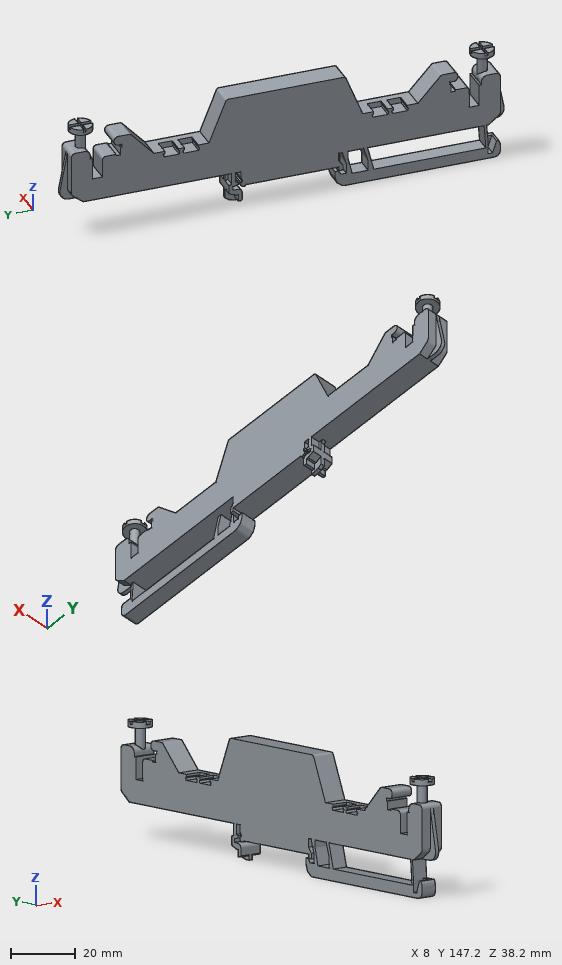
import cadquery as cq
import math

THICKNESS = 8.0
LENGTH = 147.2
TOP_Z = 19.1
FOOT_BOTTOM_Z = -19.1
BODY_BOTTOM_Z = -7.4
BODY_END_Y = 71.1
SIDE_X = THICKNESS / 2
OPEN_SIDE_END_X = 1.5

DECK_Z = 5.0
HORN_TOP_Z = 13.4
HORN_BOTTOM_Z = 10.3
HORN_TIP_Y = 57.0
HORN_TIP_RADIUS = 1.5
LEDGE_Z = 7.2
SLOT_INNER_Y = 60.8
SLOT_OUTER_Y = 64.0
SLOT_BOTTOM_Z = 0.1
POST_INNER_Y = 64.8
POST_TOP_Z = 10.3
POST_ROUND = 1.5
POST_INNER_ROUND = 2.0
CORNER_CHAMFER_Y = 67.1
CORNER_CHAMFER_Z = -4.3
CORNER_CHAMFER_ROUND = 1.8

WEB_THICKNESS = 1.3
FIN_RADIUS = 3.0

POCKET_CENTRES_Y = (31.4, 37.8)
POCKET_WIDTH = 4.5
POCKET_UNDERCUT = 0.5
POCKET_FLOOR_FLARE = 0.1
POCKET_NECK_DEPTH = 0.7
POCKET_WIDEST_DEPTH = 1.2
POCKET_DEPTH = 1.9

SCREW_Y = 66.5
SHANK_RADIUS = 1.6
SHANK_BOTTOM_Z = LEDGE_Z
HEAD_RADIUS = 3.8
HEAD_BOTTOM_Z = 16.0
HEAD_TOP_Z = 18.0
CROSS_DEPTH = 0.9
CROSS_WIDTH_ACROSS_X = 1.3
CROSS_WIDTH_ACROSS_Y = 0.9

BLOCK_BOTTOM_Z = -12.2
BLOCK_HOOK_SIDE_Y = 14.9
BLOCK_FOOT_SIDE_Y = -17.5
BLOCK_LIP_Y = -18.8
BLOCK_GROOVE_DEPTH = 0.5
BLOCK_BEAD_Z = BLOCK_BOTTOM_Z - 0.5

FOOT_TOP_Z = -13.5
BAR_TOP_Z = -15.3
FOOT_START_Y = -16.2
FOOT_END_Y = -BODY_END_Y
NOTCH_FLOOR_X = 0.0
NOTCH_INNER_Y = -67.0
NOTCH_BOTTOM_Z = -17.5

HOOK_OUTER_Y = 18.8
HOOK_TIP_Y = 14.5
HOOK_ARM_Z = -15.3
HOOK_BOTTOM_Z = -17.5
HOOK_WEB_BOTTOM_Z = -18.8

OVERLAP = 0.3


def rounded_prism(corners, x_start, x_end):
    """Extrude a closed YZ outline along X; each corner is (y, z) or (y, z, rounding radius)."""
    sketch = cq.Workplane("YZ", origin=(x_start, 0, 0))
    for i, (y, z, *radius) in enumerate(corners):
        here = cq.Vector(y, z)
        previous = cq.Vector(*corners[i - 1][:2])
        following = cq.Vector(*corners[(i + 1) % len(corners)][:2])
        go = sketch.lineTo if i else sketch.moveTo
        if not radius:
            sketch = go(y, z)
            continue
        to_previous = (previous - here).normalized()
        to_following = (following - here).normalized()
        half_angle = to_previous.getAngle(to_following) / 2
        tangent_length = radius[0] / math.tan(half_angle)
        middle_distance = radius[0] / math.sin(half_angle) - radius[0]
        arc_start = here + to_previous * tangent_length
        arc_middle = here + (to_previous + to_following).normalized() * middle_distance
        arc_end = here + to_following * tangent_length
        sketch = go(arc_start.x, arc_start.y)
        sketch = sketch.threePointArc((arc_middle.x, arc_middle.y), (arc_end.x, arc_end.y))
    return sketch.close().extrude(x_end - x_start)


def mirrored_in_y(corners):
    """The same corners on the -Y side, in reverse order so that the outline runs on."""
    return [(-y, z, *radius) for y, z, *radius in reversed(corners)]


def make_body_plate():
    """Main plate with its raised middle, the two horns, the slots and the end posts."""
    half_outline = [
        (19.7, TOP_Z, 1.0),
        (25.5, DECK_Z),
        (43.7, DECK_Z),
        (51.5, HORN_TOP_Z, 1.2),
        (HORN_TIP_Y, HORN_TOP_Z, HORN_TIP_RADIUS),
        (HORN_TIP_Y, HORN_BOTTOM_Z, HORN_TIP_RADIUS),
        (54.3, HORN_BOTTOM_Z),
        (54.3, 9.4),
        (54.8, 9.4),
        (54.8, 6.8),
        (56.2, 6.8),
        (56.2, LEDGE_Z),
        (SLOT_INNER_Y, LEDGE_Z, 1.2),
        (SLOT_INNER_Y, SLOT_BOTTOM_Z),
        (SLOT_OUTER_Y, SLOT_BOTTOM_Z),
        (SLOT_OUTER_Y, LEDGE_Z),
        (POST_INNER_Y, LEDGE_Z),
        (POST_INNER_Y, POST_TOP_Z, POST_INNER_ROUND),
        (BODY_END_Y, POST_TOP_Z, POST_ROUND),
        (BODY_END_Y, CORNER_CHAMFER_Z, CORNER_CHAMFER_ROUND),
        (CORNER_CHAMFER_Y, BODY_BOTTOM_Z),
    ]
    return rounded_prism(half_outline + mirrored_in_y(half_outline), -SIDE_X, SIDE_X)


def make_end_fin():
    """Thin central fin on the +Y end, leaning outward to a round lower corner."""
    centre_y = LENGTH / 2 - FIN_RADIUS
    centre_z = BODY_BOTTOM_Z + FIN_RADIUS
    top_y = BODY_END_Y
    top_z = POST_TOP_Z - POST_ROUND
    reach = math.hypot(top_y - centre_y, top_z - centre_z)
    angle = math.atan2(top_z - centre_z, top_y - centre_y) - math.acos(FIN_RADIUS / reach)
    tangent_point = (centre_y + FIN_RADIUS * math.cos(angle), centre_z + FIN_RADIUS * math.sin(angle))
    inner_y = CORNER_CHAMFER_Y - OVERLAP
    return (
        cq.Workplane("YZ", origin=(-WEB_THICKNESS / 2, 0, 0))
        .moveTo(inner_y, BODY_BOTTOM_Z)
        .lineTo(inner_y, top_z)
        .lineTo(top_y, top_z)
        .lineTo(*tangent_point)
        .threePointArc((centre_y + FIN_RADIUS, centre_z), (centre_y, BODY_BOTTOM_Z))
        .close()
        .extrude(WEB_THICKNESS)
    )


def make_marker_pocket(centre_y):
    """Undercut pocket in the deck, open on the -X side."""
    half_top = POCKET_WIDTH / 2
    half_wide = half_top + POCKET_UNDERCUT
    half_floor = half_top + POCKET_FLOOR_FLARE
    neck_z = DECK_Z - POCKET_NECK_DEPTH
    wide_z = DECK_Z - POCKET_WIDEST_DEPTH
    floor_z = DECK_Z - POCKET_DEPTH
    right_side = [
        (half_top, DECK_Z),
        (half_top, neck_z),
        (half_wide, wide_z),
        (half_floor, floor_z),
    ]
    outline = right_side + mirrored_in_y(right_side)
    return rounded_prism([(centre_y + y, z) for y, z in outline], -SIDE_X, OPEN_SIDE_END_X)


def make_rail_block():
    """Block under the body, with a barbed lip towards the foot, and a groove and a bead towards the hook."""
    return rounded_prism(
        [
            (BLOCK_FOOT_SIDE_Y, BODY_BOTTOM_Z + OVERLAP),
            (BLOCK_HOOK_SIDE_Y, BODY_BOTTOM_Z + OVERLAP),
            (BLOCK_HOOK_SIDE_Y, -9.9),
            (BLOCK_HOOK_SIDE_Y - BLOCK_GROOVE_DEPTH, -10.3),
            (BLOCK_HOOK_SIDE_Y - BLOCK_GROOVE_DEPTH, -10.9),
            (BLOCK_HOOK_SIDE_Y, -11.2),
            (BLOCK_HOOK_SIDE_Y, BLOCK_BOTTOM_Z),
            (14.5, BLOCK_BEAD_Z),
            (13.5, BLOCK_BEAD_Z),
            (13.1, BLOCK_BOTTOM_Z),
            (BLOCK_FOOT_SIDE_Y, BLOCK_BOTTOM_Z),
            (BLOCK_FOOT_SIDE_Y, FOOT_TOP_Z),
            (BLOCK_LIP_Y, FOOT_TOP_Z),
            (BLOCK_LIP_Y, -11.8),
            (BLOCK_FOOT_SIDE_Y, -10.0),
        ],
        -SIDE_X,
        SIDE_X,
    )


def make_foot_bar():
    """Bar of the foot, with its catch under the rail block and its upturned far end."""
    bar = rounded_prism(
        [
            (FOOT_START_Y, FOOT_TOP_Z),
            (FOOT_START_Y, -15.3),
            (-17.0, -17.7, 0.5),
            (-18.8, FOOT_BOTTOM_Z, 1.8),
            (FOOT_END_Y, FOOT_BOTTOM_Z, 2.2),
            (FOOT_END_Y, -15.3),
            (-71.0, -14.5),
            (-70.5, FOOT_TOP_Z),
            (NOTCH_INNER_Y, FOOT_TOP_Z),
            (-66.3, BAR_TOP_Z),
            (-22.0, BAR_TOP_Z),
            (-20.0, -14.9),
            (-18.3, -14.9),
            (-17.4, FOOT_TOP_Z),
        ],
        -SIDE_X,
        OPEN_SIDE_END_X,
    )
    notch = rounded_prism(
        [
            (NOTCH_INNER_Y, FOOT_TOP_Z),
            (-69.8, FOOT_TOP_Z),
            (-68.5, NOTCH_BOTTOM_Z),
            (NOTCH_INNER_Y, NOTCH_BOTTOM_Z),
        ],
        -SIDE_X,
        NOTCH_FLOOR_X,
    )
    return bar.cut(notch)


def make_foot_legs():
    """Three slanting spring legs that carry the foot bar."""
    root_z = BODY_BOTTOM_Z + OVERLAP
    end_z = BAR_TOP_Z - OVERLAP
    near_leg = [
        (-18.7, root_z), (-18.7, BODY_BOTTOM_Z), (-20.0, -11.6), (-20.0, end_z),
        (-22.0, end_z), (-22.0, BAR_TOP_Z), (-20.6, -9.9), (-20.6, root_z),
    ]
    middle_leg = [
        (-25.8, root_z), (-25.8, BODY_BOTTOM_Z), (-27.2, -11.9), (-27.2, end_z),
        (-29.2, end_z), (-29.2, BAR_TOP_Z), (-27.1, BODY_BOTTOM_Z), (-27.1, root_z),
    ]
    far_leg = [
        (-65.7, root_z), (-65.7, BODY_BOTTOM_Z), (-66.3, BAR_TOP_Z), (-66.3, end_z),
        (NOTCH_INNER_Y, end_z), (NOTCH_INNER_Y, FOOT_TOP_Z), (-66.5, BODY_BOTTOM_Z), (-66.5, root_z),
    ]
    return [rounded_prism(leg, -SIDE_X, OPEN_SIDE_END_X) for leg in (near_leg, middle_leg, far_leg)]


def make_rail_hook():
    """Barbed rail hook across the full thickness, stiffened by a deeper web on the mid-plane."""
    inner_side = [
        (16.6, BODY_BOTTOM_Z + OVERLAP),
        (16.6, -10.6),
        (15.8, -10.9),
        (15.8, -11.6),
        (17.5, -12.0),
        (17.5, -13.3),
        (HOOK_TIP_Y, -13.4, 1.5),
    ]
    hook = rounded_prism(
        inner_side
        + [
            (HOOK_TIP_Y, -17.1),
            (14.9, HOOK_BOTTOM_Z),
            (15.8, HOOK_BOTTOM_Z),
            (15.8, HOOK_ARM_Z),
            (16.5, HOOK_ARM_Z),
            (HOOK_OUTER_Y, -14.3),
            (HOOK_OUTER_Y, -11.5),
            (18.0, -11.0),
            (18.0, BODY_BOTTOM_Z + OVERLAP),
        ],
        -SIDE_X,
        SIDE_X,
    )
    web = rounded_prism(
        inner_side
        + [
            (HOOK_TIP_Y, HOOK_WEB_BOTTOM_Z),
            (15.8, HOOK_WEB_BOTTOM_Z),
            (17.5, -18.4),
            (HOOK_OUTER_Y, HOOK_BOTTOM_Z),
            (HOOK_OUTER_Y, -8.1),
            (19.6, BODY_BOTTOM_Z),
            (19.6, BODY_BOTTOM_Z + OVERLAP),
        ],
        -WEB_THICKNESS / 2,
        WEB_THICKNESS / 2,
    )
    return hook.union(web)


def make_screw_shank():
    """Shank of the +Y screw; the hole in the post has the same shape."""
    return (
        cq.Workplane("XY", origin=(0, SCREW_Y, SHANK_BOTTOM_Z))
        .circle(SHANK_RADIUS)
        .extrude(HEAD_BOTTOM_Z - SHANK_BOTTOM_Z)
    )


def make_housing():
    """Plate, end fins, rail block, foot and hook in one solid, with pockets and screw holes."""
    fin = make_end_fin()
    housing = make_body_plate().union(fin).union(fin.mirror("XZ"))
    housing = housing.union(make_rail_block()).union(make_foot_bar()).union(make_rail_hook())
    for leg in make_foot_legs():
        housing = housing.union(leg)
    for centre_y in POCKET_CENTRES_Y:
        pocket = make_marker_pocket(centre_y)
        housing = housing.cut(pocket).cut(pocket.mirror("XZ"))
    shank = make_screw_shank()
    return housing.cut(shank).cut(shank.mirror("XZ"))


def make_screw(side):
    """Cross-slotted screw at the +Y end (side = 1) or the -Y end (side = -1)."""
    head = (
        cq.Workplane("XY", origin=(0, SCREW_Y, HEAD_BOTTOM_Z))
        .circle(HEAD_RADIUS)
        .extrude(HEAD_TOP_Z - HEAD_BOTTOM_Z)
    )
    head_width = 2 * HEAD_RADIUS
    slot_plane = cq.Workplane("XY", origin=(0, SCREW_Y, HEAD_TOP_Z - CROSS_DEPTH))
    long_slot = slot_plane.rect(CROSS_WIDTH_ACROSS_X, head_width).extrude(CROSS_DEPTH)
    cross_slot = slot_plane.rect(head_width, CROSS_WIDTH_ACROSS_Y).extrude(CROSS_DEPTH)
    screw = head.cut(long_slot).cut(cross_slot).union(make_screw_shank())
    return screw if side > 0 else screw.mirror("XZ")


housing = make_housing()
screws = [make_screw(side) for side in (1, -1)]

result = cq.Compound.makeCompound([housing.val(), *(screw.val() for screw in screws)])